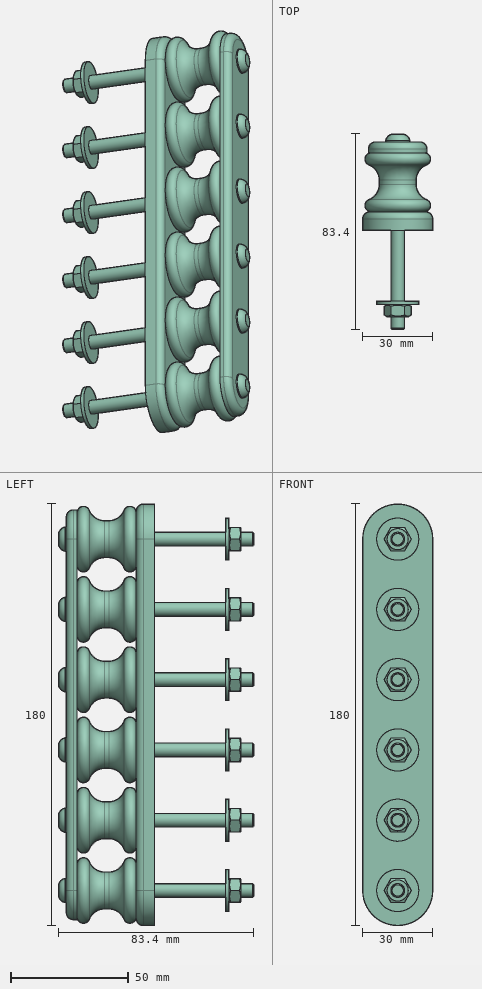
import cadquery as cq
import math

overall_length = 180.0
roller_count = 6
pitch = overall_length / roller_count

base_width = pitch
base_thickness = 8.0
base_fillet = 3.0

cover_width = 25.0
cover_thickness = 4.7
cover_fillet = 3.0

roller_length = 25.2
flange_radius = 14.0
waist_radius = 8.0
waist_flat = 1.8
rim_radius = 2.7

bolt_diameter = 6.0
bolt_chamfer = 0.5
bolt_overhang = 42.3
head_diameter = 10.5
head_crown_diameter = 5.4
head_height = 3.2
head_rim_height = 0.5
head_bulge = 0.4

washer_diameter = 18.0
washer_thickness = 1.5
washer_gap = 30.2
nut_across_flats = 10.0
nut_face_diameter = 9.0
nut_thickness = 5.2
nut_chamfer_slope = math.radians(30)

roller_start = base_thickness
cover_start = roller_start + roller_length
head_start = cover_start + cover_thickness
washer_start = -washer_gap
nut_start = washer_start - washer_thickness
nut_end = nut_start - nut_thickness
bolt_tip = -bolt_overhang


def plate(width, thickness, fillet, start):
    """Round-ended bar with its +Y edge rounded."""
    length = overall_length - pitch + width
    return (
        cq.Workplane("XZ", origin=(0, start, 0))
        .slot2D(length, width, 90)
        .extrude(-thickness)
        .faces(">Y")
        .edges()
        .fillet(fillet)
    )


def revolve_about_y(profile):
    """Turn a closed profile of (radius, Y) around the Y axis."""
    return profile.close().revolve(360, (0, 0, 0), (0, 1, 0))


def roller():
    """Grooved roller: two half-round rims joined tangentially to a concave waist."""
    middle = roller_start + roller_length / 2
    end = roller_start + roller_length
    rim_center_radius = flange_radius - rim_radius
    rim_center_offset = roller_length / 2 - rim_radius

    axial = rim_center_offset - waist_flat / 2
    radial = rim_center_radius - waist_radius
    groove_radius = (axial**2 + radial**2 - rim_radius**2) / (2 * (radial + rim_radius))
    groove_center_radius = waist_radius + groove_radius

    tilt = math.atan2(axial, groove_center_radius - rim_center_radius)
    joint_radius = groove_center_radius - groove_radius * math.cos(tilt)
    joint_offset = waist_flat / 2 + groove_radius * math.sin(tilt)
    groove_mid_radius = groove_center_radius - groove_radius * math.cos(tilt / 2)
    groove_mid_offset = waist_flat / 2 + groove_radius * math.sin(tilt / 2)

    profile = (
        cq.Workplane("XY")
        .moveTo(0, roller_start)
        .lineTo(rim_center_radius, roller_start)
        .threePointArc((flange_radius, roller_start + rim_radius), (joint_radius, middle - joint_offset))
        .threePointArc((groove_mid_radius, middle - groove_mid_offset), (waist_radius, middle - waist_flat / 2))
        .lineTo(waist_radius, middle + waist_flat / 2)
        .threePointArc((groove_mid_radius, middle + groove_mid_offset), (joint_radius, middle + joint_offset))
        .threePointArc((flange_radius, end - rim_radius), (rim_center_radius, end))
        .lineTo(0, end)
    )
    return revolve_about_y(profile)


def bolt():
    """Button-head bolt with a chamfered tip."""
    radius = bolt_diameter / 2
    head_radius = head_diameter / 2
    crown_radius = head_crown_diameter / 2
    head_top = head_start + head_height
    rim_top = head_start + head_rim_height
    dome_mid = ((head_radius + crown_radius) / 2 + head_bulge, (rim_top + head_top) / 2 + head_bulge)
    profile = (
        cq.Workplane("XY")
        .moveTo(0, bolt_tip)
        .lineTo(radius - bolt_chamfer, bolt_tip)
        .lineTo(radius, bolt_tip + bolt_chamfer)
        .lineTo(radius, head_start)
        .lineTo(head_radius, head_start)
        .lineTo(head_radius, rim_top)
        .threePointArc(dome_mid, (crown_radius, head_top))
        .lineTo(0, head_top)
    )
    return revolve_about_y(profile)


def washer():
    return cq.Workplane("XZ", origin=(0, washer_start, 0)).circle(washer_diameter / 2).extrude(washer_thickness)


def nut():
    """Hexagon nut with corners on the X axis, both ends chamfered by a cone."""
    face_radius = nut_face_diameter / 2
    corner_radius = nut_across_flats / 2 / math.cos(math.radians(30))
    corner_drop = (corner_radius - face_radius) * math.tan(nut_chamfer_slope)
    hexagon = cq.Workplane("XZ", origin=(0, nut_start, 0)).polygon(6, 2 * corner_radius).extrude(nut_thickness)
    envelope = (
        cq.Workplane("XY")
        .moveTo(0, nut_end)
        .lineTo(face_radius, nut_end)
        .lineTo(corner_radius, nut_end + corner_drop)
        .lineTo(corner_radius, nut_start - corner_drop)
        .lineTo(face_radius, nut_start)
        .lineTo(0, nut_start)
    )
    return hexagon.intersect(revolve_about_y(envelope))


station = roller().union(bolt()).union(washer()).union(nut())

result = plate(base_width, base_thickness, base_fillet, 0)
result = result.union(plate(cover_width, cover_thickness, cover_fillet, cover_start))
for index in range(roller_count):
    height = (index - (roller_count - 1) / 2) * pitch
    result = result.union(station.translate((0, 0, height)))